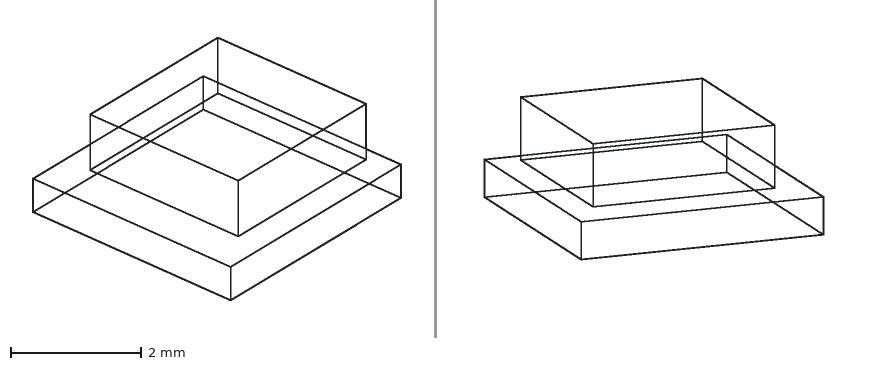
import cadquery as cq

base_side = 4
base_height = 0.6

block_side = 3
block_height = 1
back_margin = 0.24

block_center_y = base_side / 2 - back_margin - block_side / 2

base = cq.Workplane("XY").box(base_side, base_side, base_height, centered=(True, True, False))

block = (
    cq.Workplane("XY", origin=(0, block_center_y, base_height))
    .box(block_side, block_side, block_height, centered=(True, True, False))
)

result = base.union(block)